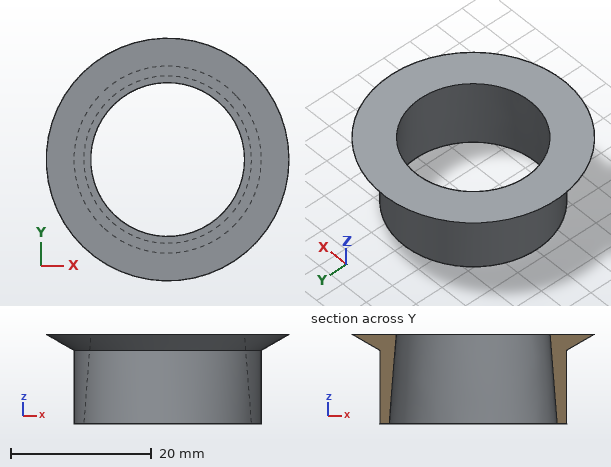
import cadquery as cq
import math

flange_diameter = 34.55
total_height = 12.7
tube_diameter = 26.63
bore_top_diameter = 21.83
bore_bottom_diameter = 23.83
flange_angle = 30.0

flange_radius = flange_diameter / 2
tube_radius = tube_diameter / 2
bore_top_radius = bore_top_diameter / 2
bore_bottom_radius = bore_bottom_diameter / 2
flange_height = (flange_radius - tube_radius) * math.tan(math.radians(flange_angle))
shoulder_z = total_height - flange_height

result = (
    cq.Workplane("XZ")
    .moveTo(bore_bottom_radius, 0)
    .lineTo(tube_radius, 0)
    .lineTo(tube_radius, shoulder_z)
    .lineTo(flange_radius, total_height)
    .lineTo(bore_top_radius, total_height)
    .close()
    .revolve(360, (0, 0, 0), (0, 1, 0))
)